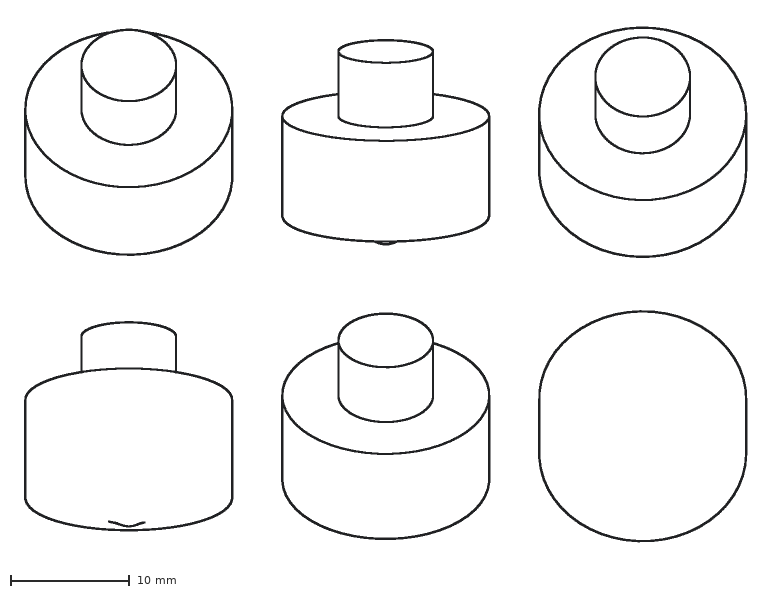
import cadquery as cq
import math

body_diameter = 17.46
stem_diameter = 8.0
total_height = 16.7
stem_height = 5.6
skirt_angle = math.radians(11)
tip_angle = math.radians(25)
nose_radius = 1.75
cone_meeting_radius = 2.97
blend_radius = 13.27
rim_radius = 0.2

body_radius = body_diameter / 2
stem_radius = stem_diameter / 2
shoulder_z = total_height - stem_height

nose_end = (nose_radius * math.sin(tip_angle), nose_radius * (1 - math.cos(tip_angle)))
nose_mid = (nose_radius * math.sin(tip_angle / 2), nose_radius * (1 - math.cos(tip_angle / 2)))

meeting_z = nose_end[1] + (cone_meeting_radius - nose_end[0]) * math.tan(tip_angle)
blend_tangent = blend_radius * math.tan((tip_angle - skirt_angle) / 2)
blend_start = (
    cone_meeting_radius - blend_tangent * math.cos(tip_angle),
    meeting_z - blend_tangent * math.sin(tip_angle),
)
blend_end = (
    cone_meeting_radius + blend_tangent * math.cos(skirt_angle),
    meeting_z + blend_tangent * math.sin(skirt_angle),
)
rim_z = meeting_z + (body_radius - cone_meeting_radius) * math.tan(skirt_angle)

rim_tangent = rim_radius * math.tan((math.pi / 2 - skirt_angle) / 2)
rim_start = (
    body_radius - rim_tangent * math.cos(skirt_angle),
    rim_z - rim_tangent * math.sin(skirt_angle),
)
rim_end = (body_radius, rim_z + rim_tangent)


def pointed_body():
    """Cylinder with a domed, double-cone underside and a rounded rim."""
    profile = (
        cq.Workplane("XZ")
        .moveTo(0, 0)
        .threePointArc(nose_mid, nose_end)
        .lineTo(*blend_start)
        .tangentArcPoint(blend_end, relative=False)
        .lineTo(*rim_start)
        .tangentArcPoint(rim_end, relative=False)
        .lineTo(body_radius, shoulder_z)
        .lineTo(0, shoulder_z)
        .close()
    )
    return profile.revolve(360, (0, 0, 0), (0, 1, 0))


def stem():
    """Plain round pin standing on the shoulder."""
    return cq.Workplane("XY").workplane(offset=shoulder_z).circle(stem_radius).extrude(stem_height)


result = pointed_body().union(stem())